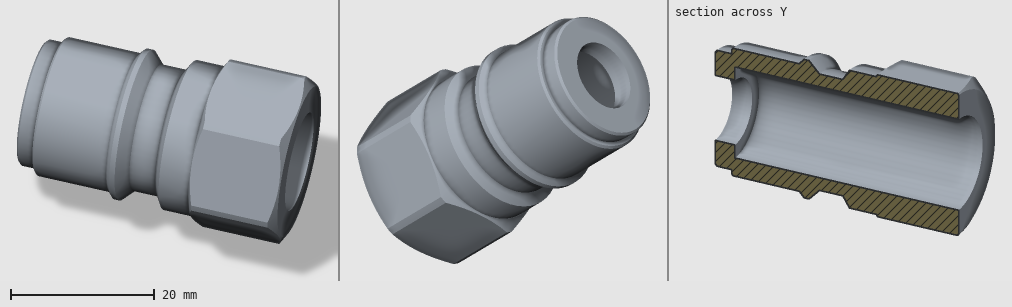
import cadquery as cq
import math

body_start = 2.55
body_end = 13.25
ridge_start = 14.0
ridge_end = 14.8
groove_start = 16.45
groove_end = 20.12
collar_start = 21.15
hex_start = 25.42
total_length = 38.4

nose_diameter = 18.0
body_diameter = 19.8
ridge_diameter = 21.5
groove_diameter = 18.1
collar_diameter = 21.4
edge_chamfer = 0.3

across_flats = 22.0
across_corners = 24.8
hex_face_diameter = 21.5
hex_chamfer_angle = 30.0

bore_diameter = 10.0
chamber_diameter = 14.0
chamber_start = 3.15


def revolve_profile(points):
    """Revolve a closed (x, radius) outline around the X axis."""
    return cq.Workplane("XY").polyline(points).close().revolve(360, (0, 0, 0), (1, 0, 0))


def cylinder(start, end, diameter):
    """Cylinder on the X axis between two stations."""
    return cq.Workplane("YZ", origin=(start, 0, 0)).circle(diameter / 2).extrude(end - start)


def make_shank():
    """Stepped round shank: nose, body, locking ridge, groove and collar."""
    nose_radius = nose_diameter / 2
    body_radius = body_diameter / 2
    ridge_radius = ridge_diameter / 2
    groove_radius = groove_diameter / 2
    collar_radius = collar_diameter / 2
    return revolve_profile([
        (0, 0),
        (0, nose_radius - edge_chamfer),
        (edge_chamfer, nose_radius),
        (body_start, nose_radius),
        (body_start, body_radius - edge_chamfer),
        (body_start + edge_chamfer, body_radius),
        (body_end, body_radius),
        (ridge_start, ridge_radius),
        (ridge_end, ridge_radius),
        (groove_start, groove_radius),
        (groove_end, groove_radius),
        (collar_start, collar_radius),
        (hex_start, collar_radius),
        (hex_start, 0),
    ])


def make_hexagon():
    """Wrench hexagon, flats at top and bottom, trimmed by a double-chamfered cylinder."""
    sharp_corners = across_flats / math.cos(math.radians(30))
    prism = (
        cq.Workplane("YZ", origin=(hex_start, 0, 0))
        .polygon(6, sharp_corners)
        .extrude(total_length - hex_start)
    )
    face_radius = hex_face_diameter / 2
    corner_radius = across_corners / 2
    chamfer_length = (corner_radius - face_radius) * math.tan(math.radians(hex_chamfer_angle))
    envelope = revolve_profile([
        (hex_start, 0),
        (hex_start, face_radius),
        (hex_start + chamfer_length, corner_radius),
        (total_length - chamfer_length, corner_radius),
        (total_length, face_radius),
        (total_length, 0),
    ])
    return prism.intersect(envelope)


bore = cylinder(0, total_length, bore_diameter)
chamber = cylinder(chamber_start, total_length, chamber_diameter)
result = make_shank().union(make_hexagon()).cut(bore).cut(chamber)